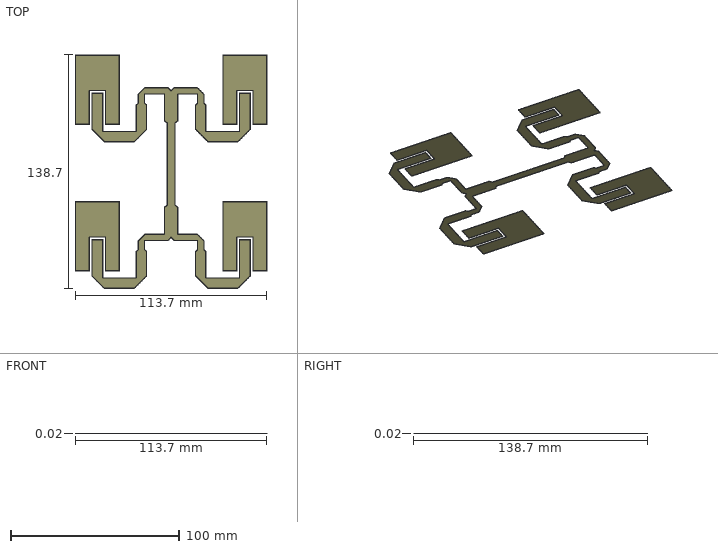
import cadquery as cq

overall_x = 113.7
overall_y = 138.7
copper_thickness = 0.02

patch_width = 26.1
patch_height = 41.2
row_pitch = 87.1
inset_depth = 20.1
feed_gap = 1.5

inset_line_width = 6.5
wide_line_width = 6.2
wide_leg_x = 17.6
wide_leg_top_below_patch_top = 29.7
wide_miter = 7.5

thin_line_width = 3.9
arm_x = 17.6
tee_top_below_patch_top = 19.3
thin_miter = 4.0
arm_taper_length = 1.1

trunk_end_width = 8.0
trunk_middle_width = 4.7
trunk_end_length = 16.0
trunk_taper_length = 1.2
notch_half_width = 1.8
notch_depth = 2.0

patch_x = overall_x / 2 - patch_width / 2
patch_tops = [overall_y / 2, overall_y / 2 - row_pitch]
feed_bottom_below_patch_top = overall_y - row_pitch
inset_width = inset_line_width + 2 * feed_gap
upper_tee_top = patch_tops[0] - tee_top_below_patch_top
lower_tee_top = patch_tops[1] - tee_top_below_patch_top
upper_tee_bottom = upper_tee_top - thin_line_width
lower_tee_bottom = lower_tee_top - thin_line_width


def plate(points):
    """Extrude a closed outline to the copper thickness."""
    return cq.Workplane("XY").polyline(points).close().extrude(copper_thickness)


def make_patch(center_x, top):
    """Rectangular patch with an inset slot open at its lower edge."""
    bottom = top - patch_height
    slot_top = bottom + inset_depth
    left = center_x - patch_width / 2
    right = center_x + patch_width / 2
    slot_left = center_x - inset_width / 2
    slot_right = center_x + inset_width / 2
    return plate([
        (left, top),
        (right, top),
        (right, bottom),
        (slot_right, bottom),
        (slot_right, slot_top),
        (slot_left, slot_top),
        (slot_left, bottom),
        (left, bottom),
    ])


def make_branch(patch_top):
    """Right-hand branch of a tee: thin arm, taper and wide U up into a patch inset."""
    tee_top = patch_top - tee_top_below_patch_top
    tee_bottom = tee_top - thin_line_width
    arm_inner = arm_x - thin_line_width / 2
    arm_outer = arm_x + thin_line_width / 2
    taper_bottom = patch_top - wide_leg_top_below_patch_top
    taper_top = taper_bottom + arm_taper_length
    leg_inner = wide_leg_x - wide_line_width / 2
    leg_outer = wide_leg_x + wide_line_width / 2
    u_bottom = patch_top - feed_bottom_below_patch_top
    u_floor = u_bottom + wide_line_width
    inset_left = patch_x - inset_line_width / 2
    inset_right = patch_x + inset_line_width / 2
    line_end = patch_top - patch_height + inset_depth - feed_gap
    return plate([
        (0, tee_top),
        (arm_outer - thin_miter, tee_top),
        (arm_outer, tee_top - thin_miter),
        (arm_outer, taper_top),
        (leg_outer, taper_bottom),
        (leg_outer, u_floor),
        (inset_left, u_floor),
        (inset_left, line_end),
        (inset_right, line_end),
        (inset_right, u_bottom + wide_miter),
        (inset_right - wide_miter, u_bottom),
        (leg_inner + wide_miter, u_bottom),
        (leg_inner, u_bottom + wide_miter),
        (leg_inner, taper_bottom),
        (arm_inner, taper_top),
        (arm_inner, tee_bottom),
        (0, tee_bottom),
    ])


def make_trunk():
    """Vertical line between the tees, narrowed along its middle."""
    end_x = trunk_end_width / 2
    middle_x = trunk_middle_width / 2
    upper_taper_top = upper_tee_bottom - trunk_end_length
    upper_taper_bottom = upper_taper_top - trunk_taper_length
    lower_taper_bottom = lower_tee_top + trunk_end_length
    lower_taper_top = lower_taper_bottom + trunk_taper_length
    right_side = [
        (end_x, upper_tee_top),
        (end_x, upper_taper_top),
        (middle_x, upper_taper_bottom),
        (middle_x, lower_taper_top),
        (end_x, lower_taper_bottom),
        (end_x, lower_tee_bottom),
    ]
    left_side = [(-x, y) for x, y in reversed(right_side)]
    return plate(right_side + left_side)


def make_notch(edge_y, tip_y):
    """V-shaped cutter with its base on a tee edge."""
    return plate([(-notch_half_width, edge_y), (notch_half_width, edge_y), (0, tip_y)])


def make_feed_network():
    """Trunk with four branches and a V notch opposite the trunk at each tee."""
    network = make_trunk()
    for patch_top in patch_tops:
        branch = make_branch(patch_top)
        network = network.union(branch).union(branch.mirror("YZ"))
    network = network.cut(make_notch(upper_tee_top, upper_tee_top - notch_depth))
    network = network.cut(make_notch(lower_tee_bottom, lower_tee_bottom + notch_depth))
    return network.clean()


feed_network = make_feed_network()
patches = [make_patch(x, top) for top in patch_tops for x in (-patch_x, patch_x)]

result = cq.Compound.makeCompound([feed_network.val(), *[patch.val() for patch in patches]])